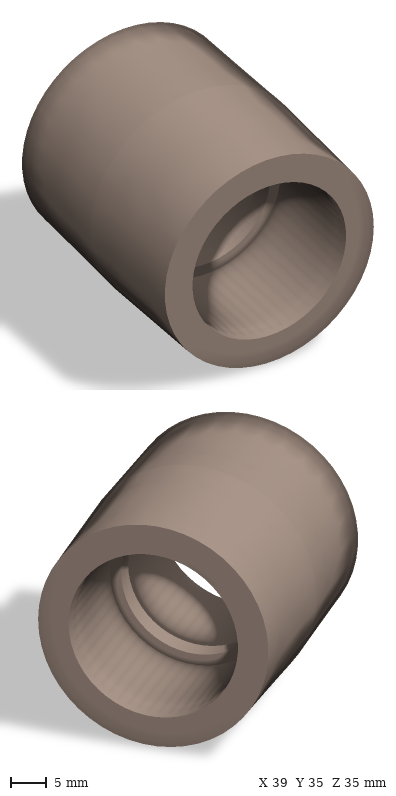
import cadquery as cq

length = 39.0
middle_diameter = 35.0
end_diameter = 34.0
socket_diameter = 25.0
bore_diameter = 21.7
stop_width = 3.0

half_length = length / 2
socket_depth = (length - stop_width) / 2


def tapered_half(direction):
    """Cone from the wide middle plane to one narrower end."""
    return (
        cq.Workplane("XY")
        .moveTo(0, 0)
        .lineTo(0, middle_diameter / 2)
        .lineTo(direction * half_length, end_diameter / 2)
        .lineTo(direction * half_length, 0)
        .close()
        .revolve(360, (0, 0, 0), (1, 0, 0))
    )


def socket(direction):
    """Pipe socket cut inward from one end."""
    return (
        cq.Workplane("YZ", origin=(direction * half_length, 0, 0))
        .circle(socket_diameter / 2)
        .extrude(-direction * socket_depth)
    )


body = tapered_half(-1).union(tapered_half(1))

bore = cq.Workplane("YZ", origin=(-half_length, 0, 0)).circle(bore_diameter / 2).extrude(length)
body = body.cut(bore)

for direction in (-1, 1):
    body = body.cut(socket(direction))

result = body